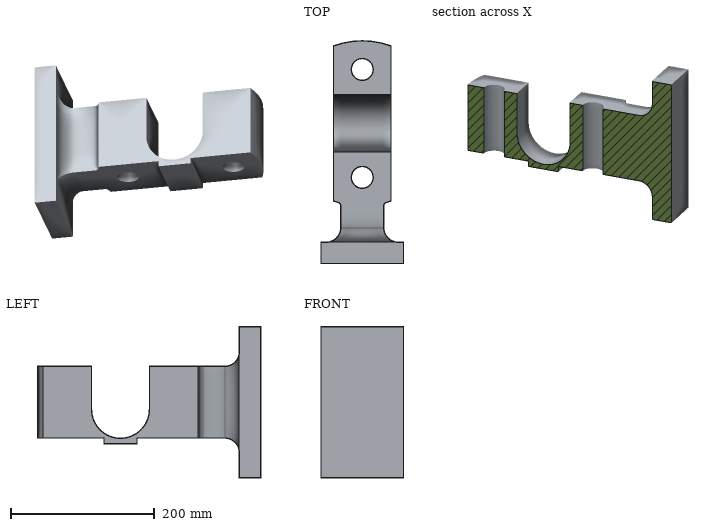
import cadquery as cq
import math

cradle_radius = 40.0
arm_width = 80.0
arm_height = 100.0
arm_end_radius = 115.0
arm_bottom = -cradle_radius
arm_top = arm_bottom + arm_height
arm_middle = (arm_bottom + arm_top) / 2

bolt_hole_diameter = 30.0
bolt_hole_offset = 75.0

pad_length = 46.0
pad_thickness = 8.0

plate_width = 115.0
plate_thickness = 30.0
plate_height = 210.0
plate_back = -195.0
plate_face = plate_back + plate_thickness

neck_width = 60.0
neck_root_fillet = 20.0
shoulder_fillet = 5.0


def make_arm():
    """Straight-sided block whose two ends lie on one vertical cylinder."""
    end_cylinder = (
        cq.Workplane("XY", origin=(0, 0, arm_bottom))
        .circle(arm_end_radius)
        .extrude(arm_height)
    )
    side_limits = cq.Workplane("XY", origin=(0, 0, arm_middle)).box(
        arm_width, 2 * arm_end_radius, arm_height
    )
    return end_cylinder.intersect(side_limits)


def make_neck():
    """Bar from the plate face into the arm, as far as the nearer bolt hole axis."""
    neck_length = -bolt_hole_offset - plate_face
    return cq.Workplane("XY", origin=(0, plate_face, arm_bottom)).box(
        neck_width, neck_length, arm_height, centered=(True, False, False)
    )


def make_plate():
    """Rectangular plate centred on the height of the arm."""
    return cq.Workplane("XY", origin=(0, plate_back, arm_middle)).box(
        plate_width, plate_thickness, plate_height, centered=(True, False, True)
    )


def make_pad():
    """Shallow pad that closes the bottom of the cradle."""
    return cq.Workplane("XY", origin=(0, 0, arm_bottom - pad_thickness)).box(
        arm_width, pad_length, pad_thickness, centered=(True, True, False)
    )


def make_cradle_cutter():
    """U-shaped slot, open at the top, with its round floor on the arm bottom."""
    return (
        cq.Workplane("YZ", origin=(-arm_width / 2, 0, 0))
        .moveTo(-cradle_radius, arm_top)
        .lineTo(-cradle_radius, 0)
        .threePointArc((0, -cradle_radius), (cradle_radius, 0))
        .lineTo(cradle_radius, arm_top)
        .close()
        .extrude(arm_width)
    )


def make_bolt_holes():
    """Vertical through holes, one on each side of the cradle."""
    return (
        cq.Workplane("XY", origin=(0, 0, arm_bottom))
        .pushPoints([(0, -bolt_hole_offset), (0, bolt_hole_offset)])
        .circle(bolt_hole_diameter / 2)
        .extrude(arm_height)
    )


def neck_corner_edges(body):
    """Vertical edges where the neck sides meet the rounded end of the arm."""
    shoulder_y = -math.sqrt(arm_end_radius**2 - (neck_width / 2) ** 2)
    corners = [
        body.edges(cq.selectors.NearestToPointSelector((x, shoulder_y, arm_middle))).val()
        for x in (-neck_width / 2, neck_width / 2)
    ]
    return body.newObject(corners)


def neck_root_edges(body):
    """Edges of the neck outline on the plate face."""
    margin = 1.0
    return body.edges(
        cq.selectors.BoxSelector(
            (-neck_width / 2 - margin, plate_face - margin, arm_bottom - margin),
            (neck_width / 2 + margin, plate_face + margin, arm_top + margin),
            boundingbox=True,
        )
    )


body = make_arm().union(make_neck()).clean()
body = neck_corner_edges(body).fillet(shoulder_fillet)
body = body.union(make_plate())
body = neck_root_edges(body).fillet(neck_root_fillet)
body = body.union(make_pad())
result = body.cut(make_cradle_cutter()).cut(make_bolt_holes())